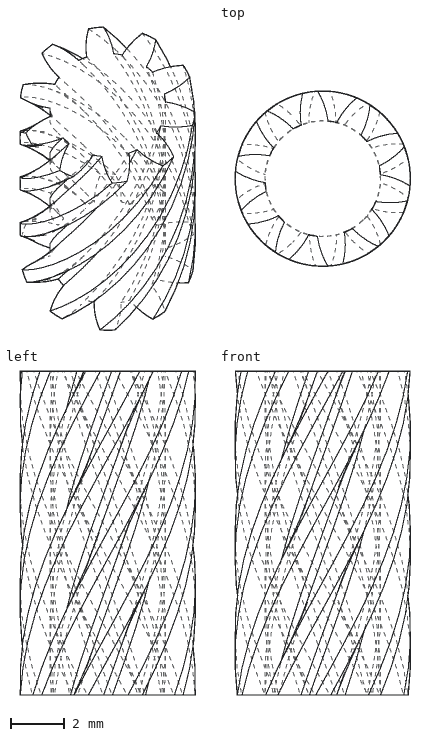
import cadquery as cq
import math

length = 12.0
tooth_count = 10
tip_radius = 3.25
mid_radius = 2.59
root_radius = 2.15

gap_half_angle_root = 4.4
gap_half_angle_mid = 7.5
gap_half_angle_tip = 13.1

top_gap_angle = 8.3
twist = 116.0

pitch_angle = 360.0 / tooth_count
bottom_gap_angle = top_gap_angle - twist


def polar(radius, angle):
    """Point at a radius and an angle in degrees around the pinion axis."""
    return (radius * math.cos(math.radians(angle)), radius * math.sin(math.radians(angle)))


def pinion_outline():
    """Closed tooth outline: for each pitch a root arc, two curved flanks and a tip arc."""
    first_angle = bottom_gap_angle - gap_half_angle_root
    outline = cq.Workplane("XY").moveTo(*polar(root_radius, first_angle))
    for tooth in range(tooth_count):
        gap = bottom_gap_angle + tooth * pitch_angle
        next_gap = gap + pitch_angle
        outline = (
            outline
            .threePointArc(polar(root_radius, gap), polar(root_radius, gap + gap_half_angle_root))
            .threePointArc(
                polar(mid_radius, gap + gap_half_angle_mid),
                polar(tip_radius, gap + gap_half_angle_tip),
            )
            .threePointArc(
                polar(tip_radius, gap + pitch_angle / 2),
                polar(tip_radius, next_gap - gap_half_angle_tip),
            )
            .threePointArc(
                polar(mid_radius, next_gap - gap_half_angle_mid),
                polar(root_radius, next_gap - gap_half_angle_root),
            )
        )
    return outline.close()


result = pinion_outline().twistExtrude(length, twist)